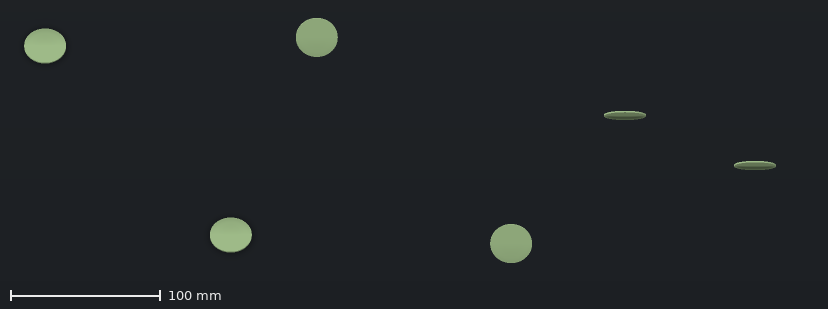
import cadquery as cq

overall_length = 226.1
disc_diameter = 28.0
disc_thickness = 1.0

disc_offset = (overall_length - disc_diameter) / 2


def make_disc(center_x):
    """Thin flat disc lying in the XY plane, centered at center_x on the X axis."""
    return (
        cq.Workplane("XY")
        .center(center_x, 0)
        .circle(disc_diameter / 2)
        .extrude(disc_thickness)
    )


discs = [make_disc(side * disc_offset) for side in (-1, 1)]

result = cq.Compound.makeCompound([disc.val() for disc in discs])